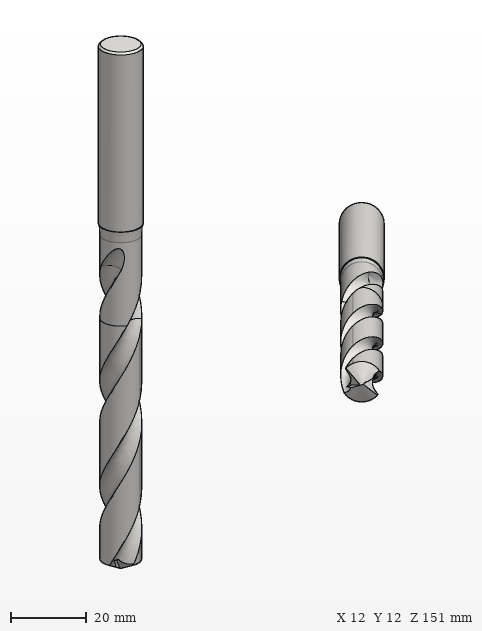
import cadquery as cq
import math

OVERALL_LENGTH = 151.0
CUTTING_LENGTH = 72.2
FLUTE_LENGTH = 88.0
NECK_BOTTOM = 96.2
SHANK_BOTTOM = 99.4

SHANK_RADIUS = 12.0 / 2
DRILL_RADIUS = 5.6
SHANK_CHAMFER = 0.6
NECK_TOP_RADIUS = 5.7
POINT_HEIGHT = 2.9

GASH_HEIGHT = 4.0
GASH_LIP_OFFSET = 0.3
GASH_LEAN = 35.0

FLUTE_COUNT = 2
HELIX_ANGLE = 30.0
FLUTE_PITCH = 2 * math.pi * DRILL_RADIUS / math.tan(math.radians(HELIX_ANGLE))
FLUTE_CUTTER_RADIUS = 3.8
FLUTE_CENTER_RADIUS = 6.6
FRONT_CROSSING_HEIGHT = 28.8
FLUTE_START = -1.5
FLUTE_OVERLAP = 0.8
RUNOUT_ANGLE = 14.0
RUNOUT_LENGTH = 13.6


def flute_azimuth(height):
    """Angle about Z, in degrees, of the first flute at the given height."""
    return 270 + 360 * (height - FRONT_CROSSING_HEIGHT) / FLUTE_PITCH


def flute_section():
    """Circular cutter section, offset along +X from the drill axis."""
    return cq.Workplane("XY").moveTo(FLUTE_CENTER_RADIUS, 0).circle(FLUTE_CUTTER_RADIUS)


def about_axis(shape, azimuth):
    return shape.rotate((0, 0, 0), (0, 0, 1), azimuth)


def helical_flute(bottom, top):
    """Right-handed flute cutter between two heights."""
    height = top - bottom
    twisted = flute_section().twistExtrude(height, 360 * height / FLUTE_PITCH)
    return about_axis(twisted.translate((0, 0, bottom)), flute_azimuth(bottom))


def flute_runout():
    """Straight continuation of the helix, leaning outward, which carries the flute out of the drill."""
    rise_per_sideways_unit = FLUTE_PITCH / (2 * math.pi * FLUTE_CENTER_RADIUS)
    end_radius = FLUTE_CENTER_RADIUS + RUNOUT_LENGTH * math.tan(math.radians(RUNOUT_ANGLE))
    end_center = (end_radius, RUNOUT_LENGTH / rise_per_sideways_unit, RUNOUT_LENGTH)
    path = cq.Workplane("XY").polyline([(FLUTE_CENTER_RADIUS, 0, 0), end_center])
    straight = flute_section().sweep(path)
    return about_axis(straight.translate((0, 0, FLUTE_LENGTH)), flute_azimuth(FLUTE_LENGTH))


def cut_pair(body, cutter):
    for index in range(FLUTE_COUNT):
        body = body.cut(about_axis(cutter, 360 / FLUTE_COUNT * index))
    return body


def point_gash():
    """Wedge on the +X, -Y side of the point whose leaning face runs from the lip up to the flute."""
    top_offset = GASH_LIP_OFFSET + GASH_HEIGHT * math.tan(math.radians(GASH_LEAN))
    profile = [
        (-GASH_LIP_OFFSET, 0),
        (-top_offset, GASH_HEIGHT),
        (-SHANK_RADIUS, GASH_HEIGHT),
        (-SHANK_RADIUS, 0),
    ]
    return cq.Workplane("YZ").polyline(profile).close().extrude(SHANK_RADIUS)


def revolved(profile):
    """Solid of revolution about Z from (radius, height) points."""
    return cq.Workplane("XZ").polyline(profile).close().revolve(360, (0, 0), (0, 1))


def make_cutting_part():
    blank = revolved([
        (0, 0),
        (DRILL_RADIUS, POINT_HEIGHT),
        (DRILL_RADIUS, CUTTING_LENGTH),
        (0, CUTTING_LENGTH),
    ])
    fluted = cut_pair(blank, helical_flute(FLUTE_START, CUTTING_LENGTH + FLUTE_OVERLAP))
    return cut_pair(fluted, point_gash())


def make_shank():
    """Plain shank, tapered neck and the upper fluted length above the cutting part."""
    blank = revolved([
        (0, CUTTING_LENGTH),
        (DRILL_RADIUS, CUTTING_LENGTH),
        (DRILL_RADIUS, NECK_BOTTOM),
        (NECK_TOP_RADIUS, SHANK_BOTTOM),
        (SHANK_RADIUS, SHANK_BOTTOM),
        (SHANK_RADIUS, OVERALL_LENGTH - SHANK_CHAMFER),
        (SHANK_RADIUS - SHANK_CHAMFER, OVERALL_LENGTH),
        (0, OVERALL_LENGTH),
    ])
    fluted = cut_pair(blank, helical_flute(CUTTING_LENGTH - FLUTE_OVERLAP, FLUTE_LENGTH))
    return cut_pair(fluted, flute_runout())


cutting_part = make_cutting_part()
shank = make_shank()

result = cq.Compound.makeCompound([cutting_part.val(), shank.val()])